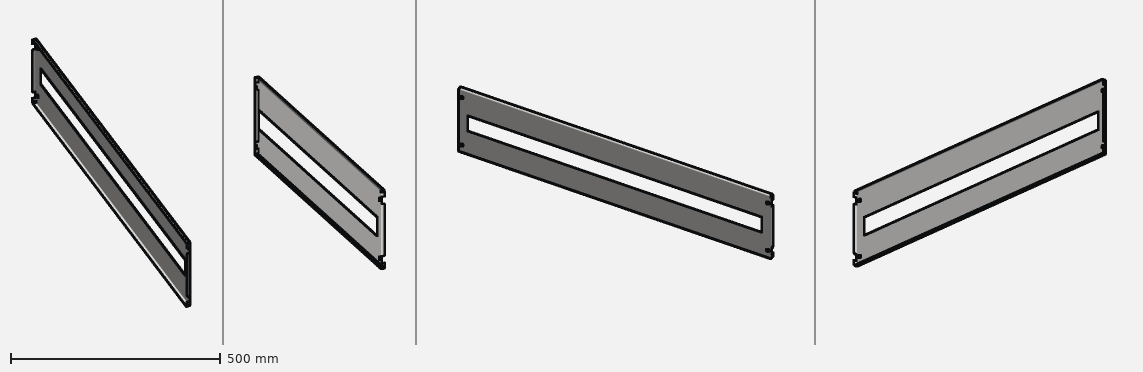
import cadquery as cq

length = 847.0
depth = 10.0
height = 200.0

sheet = 1.5
bend_radius = 2.8

window_length = 794.0
window_height = 48.0

hole_diameter = 8.0
hole_spacing_x = 827.0
hole_spacing_z = 150.0

lug_height = 15.0
gap_height = 18.0
tab_height = height - 2 * (lug_height + gap_height)
tab_chamfer = 2.5

corner_notch_x = 2.5
corner_notch_z = 3.8

front = -depth / 2
back = depth / 2


def folded_tray():
    """Shallow tray open to -Y, with the panel edges rounded inside and out."""
    outer = cq.Workplane("XY").box(length, depth, height)
    outer = outer.edges(">Y").fillet(bend_radius)
    cavity = cq.Workplane("XY").box(length - 2 * sheet, depth, height - 2 * sheet)
    cavity = cavity.translate((0, -sheet, 0)).edges(">Y").fillet(bend_radius - sheet)
    return outer.cut(cavity)


def window():
    """Cutter for the long central opening."""
    return cq.Workplane("XZ").rect(window_length, window_height).extrude(depth, both=True)


def mounting_holes():
    """Cutters for the four round holes."""
    return (
        cq.Workplane("XZ")
        .rect(hole_spacing_x, hole_spacing_z, forConstruction=True)
        .vertices()
        .circle(hole_diameter / 2)
        .extrude(depth, both=True)
    )


def flange_gaps():
    """Cutters for the gaps beside the lugs and the tab chamfers, through both end flanges."""
    tab_end = tab_height / 2
    lug_end = tab_end + gap_height
    gap_floor = back - bend_radius
    upper = (
        cq.Workplane("YZ")
        .moveTo(front, tab_end - tab_chamfer)
        .lineTo(front + tab_chamfer, tab_end)
        .lineTo(gap_floor, tab_end)
        .lineTo(gap_floor, lug_end)
        .lineTo(front, lug_end)
        .close()
        .extrude(length / 2, both=True)
    )
    return upper.union(upper.mirror("XY"))


def corner_notches():
    """Cutters that separate the flanges at the four corners of the tray."""
    return (
        cq.Workplane("XZ")
        .rect(length, height, forConstruction=True)
        .vertices()
        .rect(2 * corner_notch_x, 2 * corner_notch_z)
        .extrude(depth, both=True)
    )


result = (
    folded_tray()
    .cut(window())
    .cut(mounting_holes())
    .cut(flange_gaps())
    .cut(corner_notches())
)